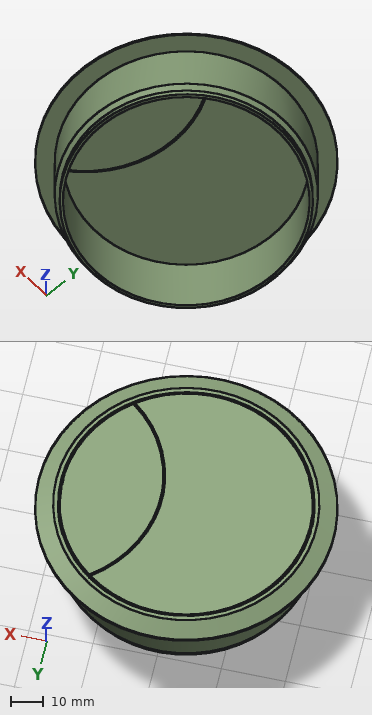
import cadquery as cq

total_height = 25.0

flange_diameter = 92
flange_top_diameter = 81
flange_height = 3.0
rim_height = 0.6

sleeve_diameter = 80
neck_diameter = 77.0
neck_height = 2.1
bore_diameter = 75.0

lid_diameter = 77.0
lid_recess_diameter = 78.0
lid_thickness = 2.0

slot_radius = 38.4
slot_width = 0.5
slot_nearest_x = 7.8

flange_base = total_height - flange_height
lid_base = total_height - lid_thickness


def disc(diameter, height, base, center_x=0):
    """Upright cylinder standing at the given base height."""
    return cq.Workplane("XY", origin=(center_x, 0, base)).circle(diameter / 2).extrude(height)


def ring(outer_diameter, inner_diameter, height, base, center_x=0):
    """Upright tube standing at the given base height."""
    outer = disc(outer_diameter, height, base, center_x)
    return outer.cut(disc(inner_diameter, height, base, center_x))


def body():
    """Revolved outside of the flange, sleeve, 45 degree bevel and neck."""
    bevel = (sleeve_diameter - neck_diameter) / 2
    profile = [
        (0, 0),
        (neck_diameter / 2, 0),
        (neck_diameter / 2, neck_height),
        (sleeve_diameter / 2, neck_height + bevel),
        (sleeve_diameter / 2, flange_base),
        (flange_diameter / 2, flange_base),
        (flange_diameter / 2, flange_base + rim_height),
        (flange_top_diameter / 2, total_height),
        (0, total_height),
    ]
    return cq.Workplane("XZ").polyline(profile).close().revolve(360, (0, 0), (0, 1))


def lid_slot():
    """Arc-shaped cut through the lid, kept inside the lid recess."""
    slot = ring(
        2 * slot_radius + slot_width,
        2 * slot_radius - slot_width,
        lid_thickness,
        lid_base,
        slot_nearest_x + slot_radius,
    )
    return slot.intersect(disc(lid_recess_diameter, lid_thickness, lid_base))


bore = disc(bore_diameter, lid_base, 0)
lid_gap = ring(lid_recess_diameter, lid_diameter, lid_thickness, lid_base)

result = body().cut(bore).cut(lid_gap).cut(lid_slot())